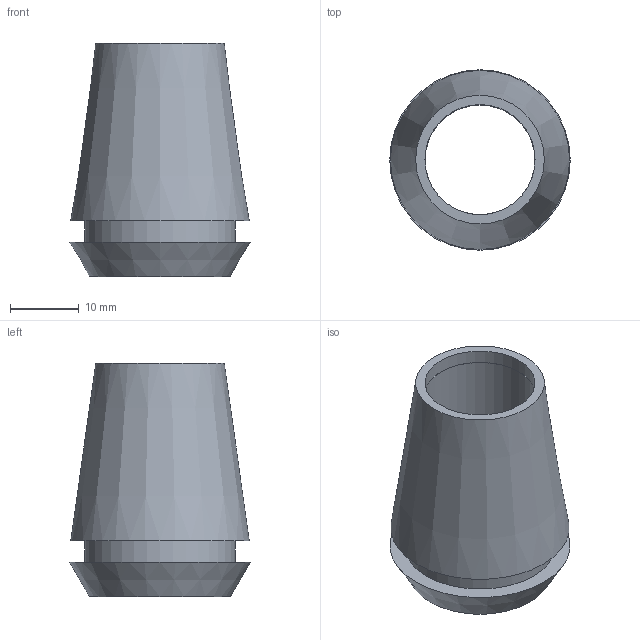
import cadquery as cq
import math

total_height = 34.0
rim_diameter = 26.3
body_diameter = 26.0
groove_diameter = 22.0

rim_height = 5.0
groove_height = 3.15

body_half_angle = math.radians(8.0)
rim_half_angle = math.radians(30.0)

bore_diameter = 16.0
mouth_diameter = 16.05
mouth_depth = 2.0

rim_radius = rim_diameter / 2
body_radius = body_diameter / 2
groove_radius = groove_diameter / 2
body_base_z = rim_height + groove_height
foot_radius = rim_radius - rim_height * math.tan(rim_half_angle)
top_radius = body_radius - (total_height - body_base_z) * math.tan(body_half_angle)


def make_collet_body():
    """Revolve the outer outline: clamping cone, extraction groove and tapered rim."""
    return (
        cq.Workplane("YZ")
        .moveTo(0, 0)
        .lineTo(foot_radius, 0)
        .lineTo(rim_radius, rim_height)
        .lineTo(groove_radius, rim_height)
        .lineTo(groove_radius, body_base_z)
        .lineTo(body_radius, body_base_z)
        .lineTo(top_radius, total_height)
        .lineTo(0, total_height)
        .close()
        .revolve(360, (0, 0, 0), (0, 1, 0))
    )


def make_cylinder(diameter, base_z, height):
    """Cylinder on the Z axis, standing on base_z."""
    return cq.Workplane("XY").workplane(offset=base_z).circle(diameter / 2).extrude(height)


bore = make_cylinder(bore_diameter, 0, total_height)
mouth = make_cylinder(mouth_diameter, total_height - mouth_depth, mouth_depth)

result = make_collet_body().cut(bore).cut(mouth)